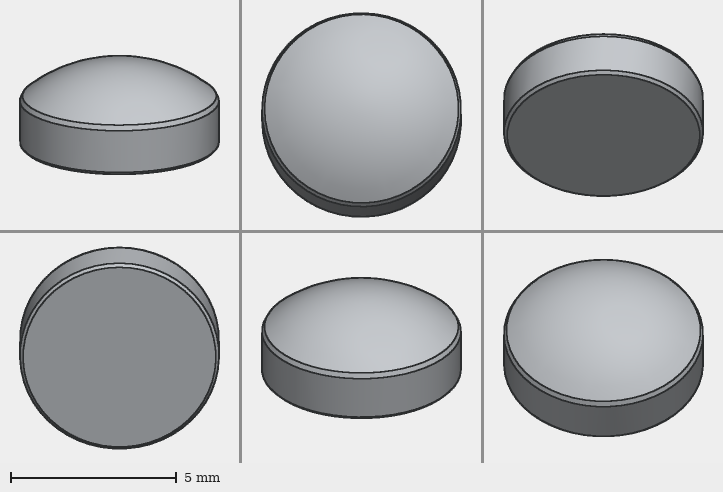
import cadquery as cq

outer_radius = 3.0
total_height = 2.61

rim_inset = 0.08
rim_height = 0.155
rim_top = 1.565
base_chamfer = 0.095

rim_radius = outer_radius - rim_inset
cylinder_top = rim_top - rim_height

dome_rise = total_height - rim_top
dome_radius = (rim_radius**2 + dome_rise**2) / (2 * dome_rise)
dome_center = total_height - dome_radius
mid_radius = rim_radius / 2
mid_height = dome_center + (dome_radius**2 - mid_radius**2) ** 0.5

half_section = (
    cq.Workplane("XZ")
    .lineTo(outer_radius - base_chamfer, 0)
    .lineTo(outer_radius, base_chamfer)
    .lineTo(outer_radius, cylinder_top)
    .lineTo(rim_radius, rim_top)
    .threePointArc((mid_radius, mid_height), (0, total_height))
    .close()
)

result = half_section.revolve(360, (0, 0, 0), (0, 1, 0))